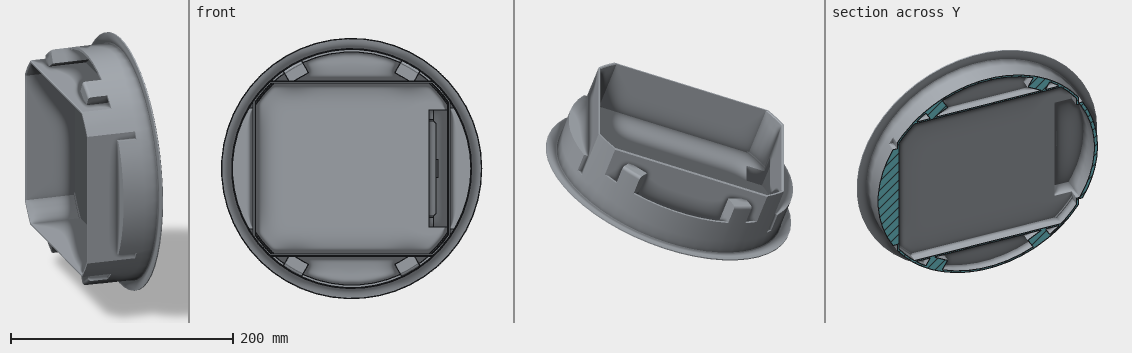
import cadquery as cq

flange_radius = 117.0
dome_height = 2.3
dome_radius = 23.5
flat_radius = 108.0
flange_thickness = 3.5
cover_thickness = 3.0
collar_radius = 107.2
collar_wall = 2.3
collar_height = 36.3
collar_inner_radius = collar_radius - collar_wall
root_chamfer = 0.7

box_height = 64.4
box_half_x = 88.5
box_half_z = 78.9
box_wall = 2.0
cavity_half_x = box_half_x - box_wall
cavity_half_z = box_half_z - box_wall
rim_chamfer = 0.7

pocket_floor = 19.2
slit_inner_z = 54.3

tab_angles = (60, 120, 240, 300)
tab_height = 54.3
tab_inner_radius = 94.0
tab_width = 19.0
tab_fillet = 2.8

insert_top = 17.5
insert_radius = 103.7
foot_height = 1.2
opening_start_x = 69.5
opening_half_z = 52.5
opening_top = 32.5

flap_thickness = 2.3
flap_ear_x = 73.7
flap_tongue_x = 75.8
flap_tongue_half_z = 42.5
flap_corner = flap_tongue_x - flap_ear_x
groove_width = 1.5
groove_depth = 0.7
finger_notch_x = 77.5
finger_notch_half_z = 8.2
finger_notch_depth = 1.2


def block(x_min, x_max, z_min, z_max, bottom, top):
    """Rectangular block between two heights."""
    return (
        cq.Workplane("XZ", origin=(0, -bottom, 0))
        .center((x_min + x_max) / 2, (z_min + z_max) / 2)
        .rect(x_max - x_min, z_max - z_min)
        .extrude(top - bottom)
    )


def disc(radius, bottom, top):
    """Round disc between two heights."""
    return cq.Workplane("XZ", origin=(0, -bottom, 0)).circle(radius).extrude(top - bottom)


def clipped_block(half_x, half_z, radius, bottom, top):
    """Centred block whose four corners are cut by a cylinder."""
    return block(-half_x, half_x, -half_z, half_z, bottom, top).intersect(disc(radius, bottom, top))


def make_envelope():
    """Domed flange with a plain round body of the full height on its inner face."""
    return (
        cq.Workplane("XY")
        .lineTo(flat_radius, 0)
        .radiusArc((flange_radius, -dome_height), dome_radius)
        .lineTo(flange_radius, -flange_thickness)
        .lineTo(collar_radius + root_chamfer, -flange_thickness)
        .lineTo(collar_radius, -flange_thickness - root_chamfer)
        .lineTo(collar_radius, -box_height)
        .lineTo(0, -box_height)
        .close()
        .revolve(360, (0, 0, 0), (0, 1, 0))
    )


def make_box():
    """Rectangular block of the box, with the front edges of its upper and lower walls chamfered."""
    box = block(-box_half_x, box_half_x, -box_half_z, box_half_z, pocket_floor, box_height)
    return box.faces("<Z or >Z").edges("<Y").chamfer(rim_chamfer)


def make_pocket(side):
    """Pocket between the collar and the upper (side 1) or lower (side -1) box wall."""
    z_limits = sorted((side * box_half_z, side * collar_radius))
    segment = block(-collar_radius, collar_radius, *z_limits, pocket_floor, collar_height)
    return segment.intersect(disc(collar_inner_radius, pocket_floor, collar_height))


def make_slit(x_side, z_side):
    """Slit through the collar beside one box corner."""
    x_limits = sorted((x_side * box_half_x, x_side * collar_radius))
    z_limits = sorted((z_side * slit_inner_z, z_side * box_half_z))
    return block(*x_limits, *z_limits, pocket_floor, collar_height)


def make_tab(angle):
    """Block of one locking tab, standing on the pocket floor and reaching past the collar."""
    half_width = tab_width / 2
    tab = block(tab_inner_radius, flange_radius, -half_width, half_width, pocket_floor, tab_height)
    return tab.rotate((0, 0, 0), (0, -1, 0), angle)


def make_opening():
    """Cable opening that runs through the +X box wall to the inside of the collar."""
    opening = block(
        opening_start_x, collar_radius, -opening_half_z, opening_half_z, cover_thickness, opening_top
    )
    return opening.intersect(disc(insert_radius, cover_thickness, opening_top))


def make_insert_blank():
    """Insert plate without its opening; it runs under the side walls of the box."""
    return clipped_block(collar_radius, cavity_half_z, insert_radius, cover_thickness, insert_top)


def make_cavity():
    """Inside of the box, with a ledge at the foot of its corners and a bevel at its rim."""
    foot_top = insert_top + foot_height
    foot = clipped_block(cavity_half_x, cavity_half_z, insert_radius, insert_top, foot_top)
    cavity = clipped_block(cavity_half_x, cavity_half_z, collar_inner_radius, foot_top, box_height)
    bevel = (
        clipped_block(
            cavity_half_x + rim_chamfer,
            cavity_half_z,
            collar_inner_radius + rim_chamfer,
            box_height - rim_chamfer,
            box_height + rim_chamfer,
        )
        .faces(">Y")
        .edges("not(<Z or >Z)")
        .chamfer(rim_chamfer)
    )
    return foot.union(cavity).union(bevel)


def make_finger_notch():
    """Shallow recess in the cover at the free edge of the flap."""
    return block(
        flap_tongue_x,
        finger_notch_x,
        -finger_notch_half_z,
        finger_notch_half_z,
        cover_thickness - finger_notch_depth,
        cover_thickness,
    )


def make_housing():
    """Flange, collar, box and tabs."""
    raised = make_box()
    for angle in tab_angles:
        raised = raised.union(make_tab(angle))
    removed = disc(flange_radius, collar_height, box_height)
    for side in (-1, 1):
        removed = removed.union(make_pocket(side))
        for z_side in (-1, 1):
            removed = removed.union(make_slit(side, z_side))
    body = make_envelope().cut(removed.cut(raised))
    tab_ends = cq.selectors.BoxSelector(
        (-flange_radius, -tab_height - tab_fillet / 2, -flange_radius),
        (flange_radius, -tab_height + tab_fillet / 2, flange_radius),
    )
    body = body.edges(tab_ends).edges("%CIRCLE").fillet(tab_fillet)
    for hollow in (make_insert_blank(), make_cavity(), make_opening(), make_finger_notch()):
        body = body.cut(hollow)
    return body


def make_insert():
    """Thick plate at the bottom of the box, with the cable opening."""
    return make_insert_blank().cut(make_opening())


def make_flap():
    """Flat flap on the cover, with a tongue and two shallow grooves beside it."""
    top = cover_thickness + flap_thickness
    ears = block(
        opening_start_x, flap_ear_x, -opening_half_z, opening_half_z, cover_thickness, top
    )
    tongue = (
        block(
            opening_start_x, flap_tongue_x, -flap_tongue_half_z, flap_tongue_half_z, cover_thickness, top
        )
        .edges("|Y and >X")
        .chamfer(flap_corner)
    )
    flap = ears.union(tongue)
    for side in (-1, 1):
        z_limits = sorted((side * flap_tongue_half_z, side * (flap_tongue_half_z + groove_width)))
        flap = flap.cut(block(opening_start_x, flap_ear_x, *z_limits, top - groove_depth, top))
    return flap


housing = make_housing()
insert = make_insert()
flap = make_flap()
result = cq.Compound.makeCompound([housing.val(), insert.val(), flap.val()])